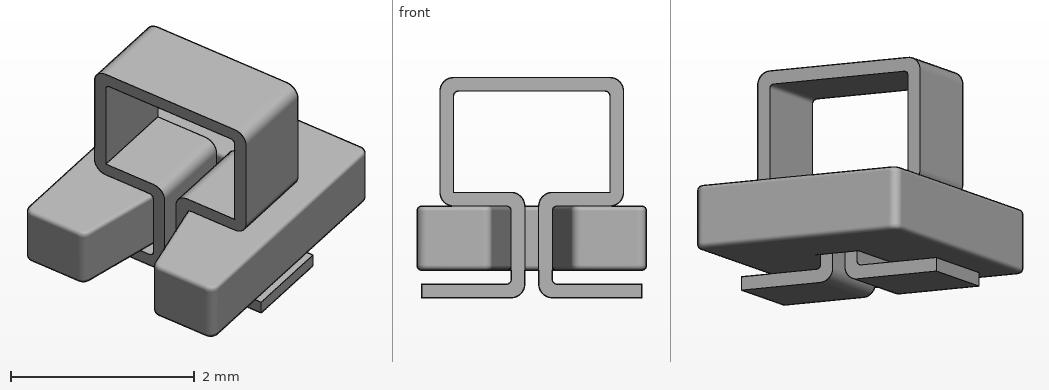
import cadquery as cq

housing_length = 3.0
housing_width = 2.5
housing_height = 0.7
housing_bottom = 0.3
housing_corner_radius = 0.1
edge_radius = 0.05
mouth_width = 0.9

strip_thickness = 0.15
leg_gap = 0.15
clip_depth = 1.0
loop_width = 2.0
foot_span = 2.4
clip_height = 2.4
outer_bend_radius = 0.15
inner_bend_radius = edge_radius

housing_top = housing_bottom + housing_height
half_length = housing_length / 2
half_depth = clip_depth / 2
inner_leg_x = leg_gap / 2
outer_leg_x = inner_leg_x + strip_thickness
loop_x = loop_width / 2
loop_inner_x = loop_x - strip_thickness
shelf_top = housing_top + strip_thickness
loop_inner_top = clip_height - strip_thickness


def make_housing():
    """Rounded block with a flared slot that holds the legs of the clip."""
    block = (
        cq.Workplane("XY", origin=(0, 0, housing_bottom))
        .rect(housing_width, housing_length)
        .extrude(housing_height)
    )
    slot = (
        cq.Workplane("XY", origin=(0, 0, housing_bottom))
        .polyline([
            (-mouth_width / 2, -half_length),
            (-outer_leg_x, -half_depth),
            (-outer_leg_x, half_depth),
            (outer_leg_x, half_depth),
            (outer_leg_x, -half_depth),
            (mouth_width / 2, -half_length),
        ])
        .close()
        .extrude(housing_height)
    )
    body = block.cut(slot)
    outer_corners = cq.selectors.BoxSelector(
        (-housing_width, half_depth + edge_radius, 0),
        (housing_width, housing_length, clip_height),
    )
    front_corners = cq.selectors.BoxSelector(
        (-housing_width, -housing_length, 0),
        (housing_width, -half_depth - edge_radius, clip_height),
    )
    body = body.edges("|Z").edges(outer_corners + front_corners).fillet(housing_corner_radius)
    return body.faces("<Z or >Z").edges().fillet(edge_radius)


def round_bends(body, bends, radius):
    """Round the clip edges along Y at the given (x, z) places, on both sides of its middle plane."""
    for x, z in bends:
        for side in (-1, 1):
            bend = cq.selectors.NearestToPointSelector((side * x, 0, z))
            body = body.edges("|Y").edges(bend).fillet(radius)
    return body


def make_clip():
    """Strip bent into a box-shaped loop, two legs and two outward feet."""
    right_half = [
        (loop_inner_x, loop_inner_top),
        (loop_inner_x, shelf_top),
        (inner_leg_x, shelf_top),
        (inner_leg_x, 0),
        (foot_span / 2, 0),
        (foot_span / 2, strip_thickness),
        (outer_leg_x, strip_thickness),
        (outer_leg_x, housing_top),
        (loop_x, housing_top),
        (loop_x, clip_height),
    ]
    left_half = [(-x, z) for x, z in reversed(right_half)]
    body = (
        cq.Workplane("XZ")
        .polyline(right_half + left_half)
        .close()
        .extrude(half_depth, both=True)
    )
    outer_bends = [
        (loop_x, clip_height),
        (loop_x, housing_top),
        (inner_leg_x, shelf_top),
        (inner_leg_x, 0),
    ]
    inner_bends = [
        (loop_inner_x, loop_inner_top),
        (outer_leg_x, housing_top),
        (outer_leg_x, strip_thickness),
    ]
    body = round_bends(body, outer_bends, outer_bend_radius)
    return round_bends(body, inner_bends, inner_bend_radius)


housing = make_housing()
clip = make_clip()
result = cq.Compound.makeCompound([housing.val(), clip.val()])